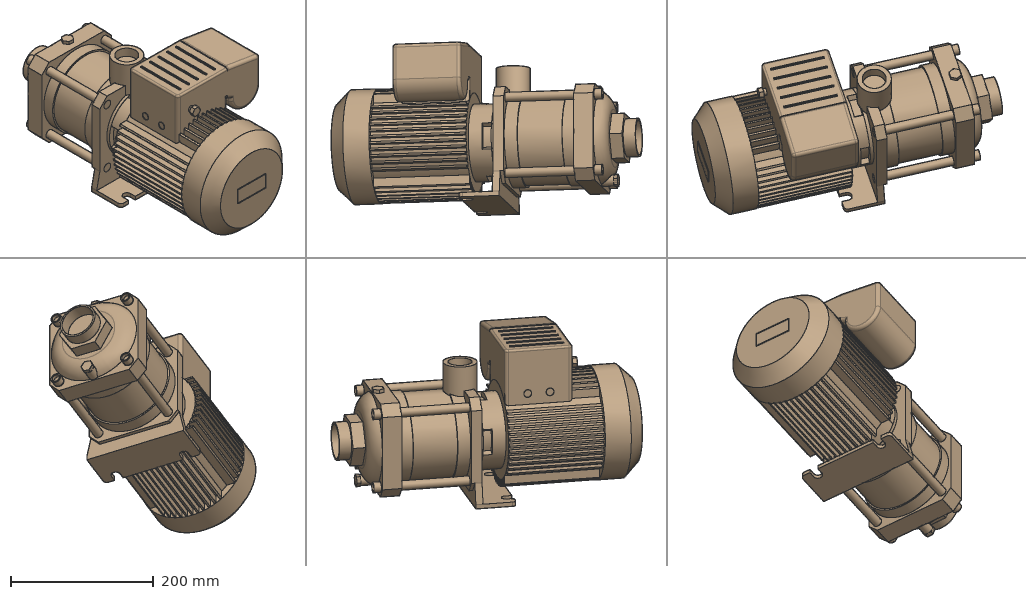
import cadquery as cq
import math


HEX_START = 17.0
DOME_START = 35.2
HEAD_PLATE_START = 52.5
HEAD_PLATE_END = 80.0
STACK_START = 97.5
STACK_END = 161.5
REAR_PLATE_START = 180.0
REAR_PLATE_END = 195.5
LANTERN_START = 200.5
MOTOR_START = 233.3
COVER_START = 370.5
CONE_START = 407.5
CONE_END = 428.5
TOTAL_LENGTH = 429.5

PLATE_WIDTH = 138.0
PLATE_CORNER_Y = 14.0
PLATE_CORNER_Z = 15.5
ROD_OFFSET = 54.0
ROD_DIA = 13.5
ROD_HEAD_DIA = 15.0
ROD_HEAD_LENGTH = 10.7
ROD_SOCKET_DIA = 11.0
ROD_SOCKET_DEPTH = 5.0

INLET_DIA = 54.0
INLET_BORE_DIA = 48.5
INLET_BORE_DEPTH = 20.0
INLET_HEX_FLATS = 64.0
DOME_FLAT_RADIUS = 41.0
DOME_CURVE = 27.5
PLUG_HEX_DIA = 18.0
VENT_PLUG_X = 61.5
VENT_PLUG_HEIGHT = 5.0
DRAIN_Z = -60.0
DRAIN_START = 29.0
DRAIN_HEX_LENGTH = 5.5
DRAIN_HEX_TURN = 8.5
DRAIN_STEM_DIA = 16.0

RING_DIA = 130.0
STACK_DIA = 125.0
OUTLET_X = 179.5
OUTLET_DIA = 48.0
OUTLET_TOP = 104.5
OUTLET_BORE_DIA = 33.5
OUTLET_BORE_DEPTH = 14.0
FOOT_BOTTOM = -90.0
FOOT_WIDTH = 150.5
FOOT_THICKNESS = 6.5
FOOT_WEB_THICKNESS = 10.5
FOOT_END = 243.5
FOOT_CORNER_RADIUS = 5.5
FOOT_SLOT_WIDTH = 13.5
FOOT_SLOT_X = 233.5
FOOT_SLOT_Y = 53.3

LANTERN_DIA = 110.0
WINDOW_LENGTH = 13.5
WINDOW_FLOOR_RADIUS = 47.3
WINDOW_FLOOR_WIDTH = 29.5
WINDOW_FLARE = 30.0
CORE_DIA = 141.0
FIN_TIP_DIA = 160.5
FIN_PITCH = 8.9
FIN_THICKNESS = 2.5
FINS_PER_HALF = 5

COVER_DIA = 162.0
COVER_END_DIA = 122.5
PAD_WIDTH = 55.0
PAD_HEIGHT = 24.0

BOX_LENGTH = 97.5
BOX_HALF_WIDTH = 49.0
BOX_SEAT = 34.5
BOX_JOINT = 86.0
BOX_TOP = 132.7
BOX_EDGE_RADIUS = 5.0
BOX_TOP_RADIUS = 3.0
POD_RIDGE = 134.0
POD_RIDGE_WIDTH = 2.5
POD_SHOULDER = 124.0
POD_SIDE = 114.0
POD_INNER_SIDE = 56.0
POD_BOTTOM = 47.0
POD_ARC_START = 74.0
POD_ARC_END = 71.0
POD_INNER_CORNER = 76.5
POD_ROOT = 79.5
VENT_COUNT = 5
VENT_PITCH = 17.0
VENT_LENGTH = 77.8
VENT_WIDTH = 2.5
VENT_HEIGHT = 1.5
SCREW_DIA = 11.0
SCREW_SPACING = 32.2
SCREW_Z = 66.5
SCREW_DEPTH = 1.0
GLAND_Y = -22.8
GLAND_Z = 99.5
GLAND_STEM_DIA = 10.0
GLAND_STEM_LENGTH = 4.5
GLAND_HEX_DIA = 15.5
GLAND_HEX_LENGTH = 7.0

BOX_CENTRE_X = MOTOR_START + BOX_LENGTH / 2
BOX_END = MOTOR_START + BOX_LENGTH
HEX_CORNER_RATIO = 2 / math.sqrt(3)


def across_shaft(x):
    """Workplane across the shaft at x: local X is Y, local Y is Z, extruding toward +X."""
    return cq.Workplane("YZ", origin=(x, 0, 0))


def disc(x_start, x_end, diameter, y=0, z=0):
    """Cylinder parallel to the shaft."""
    return across_shaft(x_start).center(y, z).circle(diameter / 2).extrude(x_end - x_start)


def hexagon(x_start, x_end, corner_diameter, y=0, z=0):
    """Hexagonal prism parallel to the shaft, with two corners pointing along Y."""
    return across_shaft(x_start).center(y, z).polygon(6, corner_diameter).extrude(x_end - x_start)


def tie_rod_points():
    return [(y, z) for y in (-ROD_OFFSET, ROD_OFFSET) for z in (-ROD_OFFSET, ROD_OFFSET)]


def tie_rod_holes(x_start, x_end):
    points = tie_rod_points()
    return across_shaft(x_start).pushPoints(points).circle(ROD_DIA / 2).extrude(x_end - x_start)


def clamping_plate(x_start, x_end):
    """Square plate with cut corners."""
    half = PLATE_WIDTH / 2
    inner_y = half - PLATE_CORNER_Y
    inner_z = half - PLATE_CORNER_Z
    outline = [
        (inner_y, half), (half, inner_z), (half, -inner_z), (inner_y, -half),
        (-inner_y, -half), (-half, -inner_z), (-half, inner_z), (-inner_y, half),
    ]
    return across_shaft(x_start).polyline(outline).close().extrude(x_end - x_start)


def make_tie_rod(y, z):
    head_start = HEAD_PLATE_START - ROD_HEAD_LENGTH
    head = disc(head_start, HEAD_PLATE_START, ROD_HEAD_DIA, y, z)
    socket = disc(head_start, head_start + ROD_SOCKET_DEPTH, ROD_SOCKET_DIA, y, z)
    shank = disc(HEAD_PLATE_START, REAR_PLATE_END, ROD_DIA, y, z)
    return head.cut(socket).union(shank)


def inlet_dome():
    """Domed front cover: a flat face rounded into the head plate."""
    depth = HEAD_PLATE_START - DOME_START
    rim_radius = DOME_FLAT_RADIUS + math.sqrt(DOME_CURVE**2 - (DOME_CURVE - depth) ** 2)
    middle_depth = DOME_CURVE * (1 - math.cos(math.radians(30)))
    middle_radius = DOME_FLAT_RADIUS + DOME_CURVE * math.sin(math.radians(30))
    return (
        cq.Workplane("XY")
        .moveTo(DOME_START, 0)
        .lineTo(DOME_START, DOME_FLAT_RADIUS)
        .threePointArc((DOME_START + middle_depth, middle_radius), (HEAD_PLATE_START, rim_radius))
        .lineTo(HEAD_PLATE_START, 0)
        .close()
        .revolve(360, (0, 0, 0), (1, 0, 0))
    )


def drain_plug():
    """Slightly turned hexagon on a stem that enters the lower edge of the head plate."""
    stem = disc(DRAIN_START, HEAD_PLATE_START, DRAIN_STEM_DIA, 0, DRAIN_Z)
    head = hexagon(DRAIN_START, DRAIN_START + DRAIN_HEX_LENGTH, PLUG_HEX_DIA, 0, DRAIN_Z)
    return stem.union(head.rotate((0, 0, DRAIN_Z), (1, 0, DRAIN_Z), DRAIN_HEX_TURN))


def vent_plug():
    """Hexagonal plug on top of the head plate."""
    top_face = cq.Workplane("XY", origin=(VENT_PLUG_X, 0, PLATE_WIDTH / 2))
    return top_face.transformed(rotate=(0, 0, 90)).polygon(6, PLUG_HEX_DIA).extrude(VENT_PLUG_HEIGHT)


def make_inlet_head():
    head = clamping_plate(HEAD_PLATE_START, HEAD_PLATE_END).union(inlet_dome())
    head = head.union(disc(HEAD_PLATE_END, STACK_START, RING_DIA))
    head = head.union(hexagon(HEX_START, DOME_START, INLET_HEX_FLATS * HEX_CORNER_RATIO))
    head = head.union(disc(0, HEX_START, INLET_DIA)).cut(disc(0, INLET_BORE_DEPTH, INLET_BORE_DIA))
    head = head.union(drain_plug()).union(vent_plug())
    return head.cut(tie_rod_holes(HEAD_PLATE_START, HEAD_PLATE_END))


def make_stage_stack():
    return disc(STACK_START, STACK_END, STACK_DIA)


def foot():
    """Flared web below the rear plate and a slotted base running toward the motor."""
    web_start = REAR_PLATE_END - FOOT_WEB_THICKNESS
    base_top = FOOT_BOTTOM + FOOT_THICKNESS
    web_top = -(PLATE_WIDTH / 2 - PLATE_CORNER_Z)
    top_half = PLATE_WIDTH / 2
    bottom_half = FOOT_WIDTH / 2
    web = (
        across_shaft(web_start)
        .polyline([(-top_half, web_top), (top_half, web_top), (bottom_half, base_top),
                   (bottom_half, FOOT_BOTTOM), (-bottom_half, FOOT_BOTTOM), (-bottom_half, base_top)])
        .close()
        .extrude(FOOT_WEB_THICKNESS)
    )

    base = (
        cq.Workplane("XY", origin=((web_start + FOOT_END) / 2, 0, FOOT_BOTTOM))
        .rect(FOOT_END - web_start, FOOT_WIDTH)
        .extrude(FOOT_THICKNESS)
        .edges("|Z and >X")
        .fillet(FOOT_CORNER_RADIUS)
    )
    return web.union(base).cut(foot_slot(FOOT_SLOT_Y)).cut(foot_slot(-FOOT_SLOT_Y))


def foot_slot(y):
    """Round-ended slot, open toward +X."""
    mouth_length = FOOT_END - FOOT_SLOT_X
    slot_plane = cq.Workplane("XY", origin=(FOOT_SLOT_X, y, FOOT_BOTTOM))
    round_end = slot_plane.circle(FOOT_SLOT_WIDTH / 2).extrude(FOOT_THICKNESS)
    mouth = cq.Workplane("XY", origin=(FOOT_SLOT_X + mouth_length / 2, y, FOOT_BOTTOM))
    return round_end.union(mouth.rect(mouth_length, FOOT_SLOT_WIDTH).extrude(FOOT_THICKNESS))


def make_discharge_head():
    outlet = cq.Workplane("XY").center(OUTLET_X, 0).circle(OUTLET_DIA / 2).extrude(OUTLET_TOP)
    bore = (
        cq.Workplane("XY", origin=(OUTLET_X, 0, OUTLET_TOP))
        .circle(OUTLET_BORE_DIA / 2)
        .extrude(-OUTLET_BORE_DEPTH)
    )
    outlet = outlet.cut(disc(0, STACK_END, STACK_DIA)).cut(disc(LANTERN_START, MOTOR_START, LANTERN_DIA))
    head = clamping_plate(REAR_PLATE_START, REAR_PLATE_END)
    head = head.union(disc(STACK_END, REAR_PLATE_START, RING_DIA))
    head = head.union(disc(REAR_PLATE_END, LANTERN_START, LANTERN_DIA))
    head = head.union(outlet).cut(bore).union(foot())
    return head.cut(tie_rod_holes(REAR_PLATE_START, REAR_PLATE_END))


def lantern():
    """Neck between pump and motor, with four recessed windows with flared sides."""
    neck = disc(LANTERN_START, MOTOR_START, LANTERN_DIA)
    flare = math.tan(math.radians(WINDOW_FLARE))
    floor_half = WINDOW_FLOOR_WIDTH / 2
    floor_side = math.sqrt(WINDOW_FLOOR_RADIUS**2 - floor_half**2)
    depth = LANTERN_DIA / 2 - floor_side
    wedge = (
        across_shaft(LANTERN_START)
        .polyline([(floor_side, -floor_half), (floor_side, floor_half),
                   (floor_side + depth, floor_half + depth * flare),
                   (floor_side + depth, -floor_half - depth * flare)])
        .close()
        .extrude(WINDOW_LENGTH)
        .cut(disc(LANTERN_START, MOTOR_START, 2 * WINDOW_FLOOR_RADIUS))
    )
    for turn in range(4):
        neck = neck.cut(wedge.rotate((0, 0, 0), (1, 0, 0), 90 * turn))
    return neck


def fins():
    """Upright and sideways fins, trimmed to the tip diameter."""
    length = COVER_START - MOTOR_START
    offsets = [FIN_PITCH * step for step in range(-FINS_PER_HALF, FINS_PER_HALF + 1)]
    upright = (
        across_shaft(MOTOR_START)
        .pushPoints([(offset, 0) for offset in offsets])
        .rect(FIN_THICKNESS, FIN_TIP_DIA)
        .extrude(length)
    )
    sideways = upright.rotate((0, 0, 0), (1, 0, 0), 90)
    envelope = disc(MOTOR_START, COVER_START, FIN_TIP_DIA)
    return upright.union(sideways).intersect(envelope)


def make_motor(terminal_box):
    """Finned motor, with the fins removed where the terminal box sits."""
    core = disc(MOTOR_START, COVER_START, CORE_DIA)
    return core.union(fins()).cut(terminal_box).union(lantern())


def make_fan_cover():
    shell = (
        cq.Workplane("XY")
        .polyline([(COVER_START, 0), (COVER_START, COVER_DIA / 2), (CONE_START, COVER_DIA / 2),
                   (CONE_END, COVER_END_DIA / 2), (CONE_END, 0)])
        .close()
        .revolve(360, (0, 0, 0), (1, 0, 0))
    )
    pad = across_shaft(CONE_END).rect(PAD_WIDTH, PAD_HEIGHT).extrude(TOTAL_LENGTH - CONE_END)
    return shell.union(pad)


def box_base():
    """Lower part of the box, rounded at its four corners."""
    base = cq.Workplane("XY", origin=(BOX_CENTRE_X, 0, BOX_SEAT)).rect(BOX_LENGTH, 2 * BOX_HALF_WIDTH)
    return base.extrude(BOX_JOINT - BOX_SEAT).edges("|Z").fillet(BOX_EDGE_RADIUS)


def box_lid():
    """Upper part of the box over the motor, with raised vent bars."""
    lid = (
        cq.Workplane("XY", origin=(BOX_CENTRE_X, 0, BOX_JOINT))
        .rect(BOX_LENGTH, 2 * BOX_HALF_WIDTH)
        .extrude(BOX_TOP - BOX_JOINT)
        .edges("|Z and <Y")
        .fillet(BOX_EDGE_RADIUS)
        .faces(">Z")
        .edges("not >Y")
        .fillet(BOX_TOP_RADIUS)
    )
    bars = (
        cq.Workplane("XY", origin=(BOX_CENTRE_X, 0, BOX_TOP))
        .rarray(4.5, VENT_PITCH, 1, VENT_COUNT)
        .rect(VENT_LENGTH, VENT_WIDTH)
        .extrude(VENT_HEIGHT)
    )
    return lid.union(bars)


def box_pod():
    """Side pod of the box: sloping roof and a rounded belly hanging beside the motor."""
    pod = (
        across_shaft(MOTOR_START)
        .moveTo(BOX_HALF_WIDTH, POD_RIDGE)
        .lineTo(BOX_HALF_WIDTH + POD_RIDGE_WIDTH, POD_RIDGE)
        .lineTo(POD_SIDE, POD_SHOULDER)
        .lineTo(POD_SIDE, POD_ARC_START)
        .threePointArc(((POD_SIDE + POD_INNER_SIDE) / 2, POD_BOTTOM), (POD_INNER_SIDE, POD_ARC_END))
        .lineTo(POD_INNER_SIDE, POD_INNER_CORNER)
        .lineTo(BOX_HALF_WIDTH, POD_ROOT)
        .close()
        .extrude(BOX_LENGTH)
    )
    end_edges = pod.faces("<X or >X").edges("not <Y")
    shoulder = pod.edges(cq.NearestToPointSelector((BOX_CENTRE_X, POD_SIDE, POD_SHOULDER)))
    return end_edges.add(shoulder).fillet(BOX_EDGE_RADIUS)


def cable_gland():
    stem = disc(BOX_END, BOX_END + GLAND_STEM_LENGTH, GLAND_STEM_DIA, GLAND_Y, GLAND_Z)
    hex_start = BOX_END + GLAND_STEM_LENGTH
    return stem.union(hexagon(hex_start, hex_start + GLAND_HEX_LENGTH, GLAND_HEX_DIA, GLAND_Y, GLAND_Z))


def make_terminal_box():
    box = box_base().union(box_lid()).union(box_pod()).union(cable_gland())
    screw_recesses = (
        cq.Workplane("XZ", origin=(BOX_CENTRE_X, -BOX_HALF_WIDTH, SCREW_Z))
        .rarray(SCREW_SPACING, 4.5, 2, 1)
        .circle(SCREW_DIA / 2)
        .extrude(-SCREW_DEPTH)
    )
    return box.cut(screw_recesses).cut(disc(MOTOR_START, COVER_START, CORE_DIA))


inlet_head = make_inlet_head()
stage_stack = make_stage_stack()
discharge_head = make_discharge_head()
terminal_box = make_terminal_box()
motor = make_motor(terminal_box)
fan_cover = make_fan_cover()
tie_rods = [make_tie_rod(y, z) for y, z in tie_rod_points()]

result = cq.Compound.makeCompound([
    inlet_head.val(),
    stage_stack.val(),
    discharge_head.val(),
    terminal_box.val(),
    motor.val(),
    fan_cover.val(),
    *[rod.val() for rod in tie_rods],
])